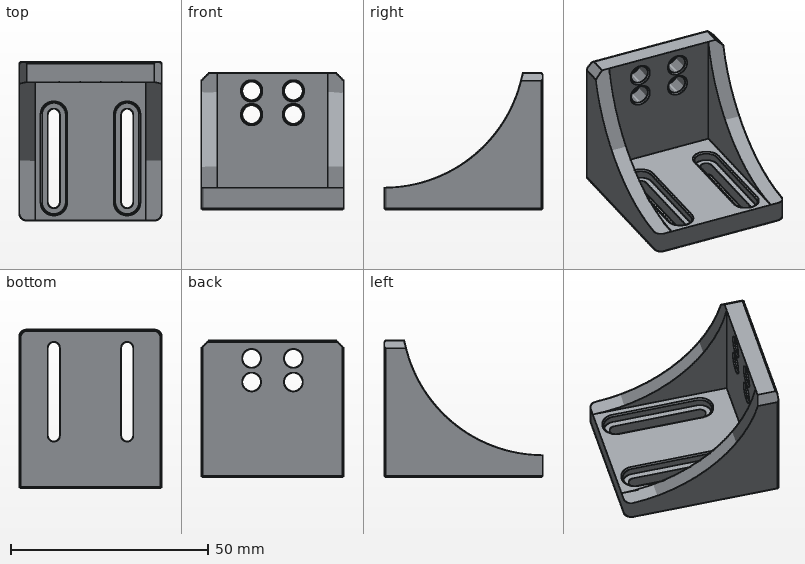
import cadquery as cq

width = 36.26
depth = 40.28
height = 34.7

base_thickness = 5.6
back_thickness = 5.1
side_thickness = 4.05

corner_size = 2.0
edge_chamfer = 0.4

hole_diameter = 4.7
hole_chamfer = 0.4
hole_spacing_x = 10.6
hole_spacing_z = 6.0
upper_hole_drop = 4.55

slot_spacing = 18.6
slot_width = 3.0
slot_length = 25.2
recess_margin = 1.5
recess_depth = 2.3
recess_chamfer = 0.4
slot_center_y = 15.8

arc_run = depth - back_thickness
arc_rise = height - base_thickness
arc_radius = (arc_run**2 + arc_rise**2) / (2 * arc_rise)

CUT_CLEARANCE = 1.0
CHAMFER_ANGLE = 45
SLOT_ANGLE = 90


def make_outer_block():
    """Block with its corners trimmed and the rear and bottom rims chamfered."""
    block = cq.Workplane("XY").box(width, depth, height, centered=(True, False, False))
    block = block.faces("<Y").edges("|Z").fillet(corner_size)
    block = block.faces("<Z or >Y").edges().chamfer(edge_chamfer)
    for side in (-1, 1):
        block = block.cut(make_top_corner(side))
    return block


def make_top_corner(side):
    """Prism that trims one upper corner flat over the full depth."""
    return (
        cq.Workplane("XZ")
        .moveTo(side * width / 2, height)
        .lineTo(side * (width / 2 - corner_size), height)
        .lineTo(side * width / 2, height - corner_size)
        .close()
        .extrude(-depth)
    )


def make_side_scoop():
    """Cylinder that hollows the front edges of both side walls."""
    return (
        cq.Workplane("YZ", origin=(-width / 2 - CUT_CLEARANCE, 0, 0))
        .center(0, base_thickness + arc_radius)
        .circle(arc_radius)
        .extrude(width + 2 * CUT_CLEARANCE)
    )


def make_inner_pocket():
    """Space between the side walls, above the base and in front of the back wall."""
    return cq.Workplane("XY", origin=(0, 0, base_thickness)).box(
        width - 2 * side_thickness, arc_run, height, centered=(True, False, False)
    )


def make_back_hole(x, z):
    """Through hole with a chamfered mouth on the inside of the back wall."""
    mouth_y = depth - back_thickness
    axis = cq.Vector(0, 1, 0)
    mouth = cq.Vector(x, mouth_y, z)
    radius = hole_diameter / 2
    bore = cq.Solid.makeCylinder(radius, back_thickness + CUT_CLEARANCE, mouth, axis)
    countersink = cq.Solid.makeCone(radius + hole_chamfer, radius, hole_chamfer, mouth, axis)
    return cq.Workplane(bore).union(cq.Workplane(countersink))


def make_slot(x):
    """Narrow through slot under a wider, chamfered recess in the base."""
    def slot_plane(z):
        return cq.Workplane("XY", origin=(x, slot_center_y, z))

    recess_length = slot_length + 2 * recess_margin
    recess_width = slot_width + 2 * recess_margin
    mouth_length = recess_length + 2 * recess_chamfer
    mouth_width = recess_width + 2 * recess_chamfer

    through = slot_plane(-CUT_CLEARANCE).slot2D(slot_length, slot_width, SLOT_ANGLE)
    through = through.extrude(base_thickness + CUT_CLEARANCE)
    recess = slot_plane(base_thickness - recess_depth).slot2D(recess_length, recess_width, SLOT_ANGLE)
    recess = recess.extrude(recess_depth)
    mouth = slot_plane(base_thickness).slot2D(mouth_length, mouth_width, SLOT_ANGLE)
    mouth = mouth.extrude(-recess_chamfer, taper=CHAMFER_ANGLE)
    return through.union(recess).union(mouth)


result = make_outer_block().cut(make_side_scoop()).cut(make_inner_pocket())

for side in (-1, 1):
    result = result.cut(make_slot(side * slot_spacing / 2))
    for row in range(2):
        hole_z = height - upper_hole_drop - row * hole_spacing_z
        result = result.cut(make_back_hole(side * hole_spacing_x / 2, hole_z))